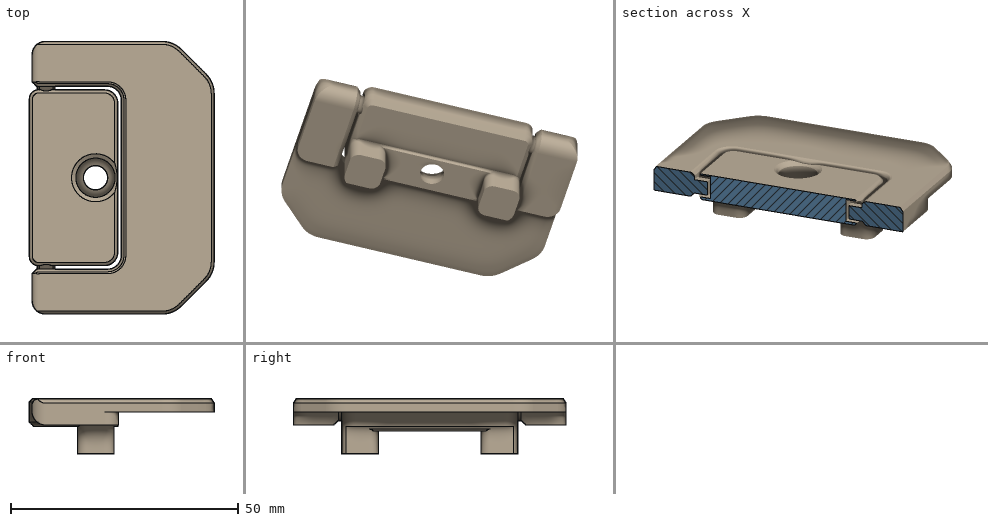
import math

import cadquery as cq

TOTAL_WIDTH = 40.7
TOTAL_LENGTH = 60.0
TOTAL_HEIGHT = 12.2
CORNER_RADIUS = 3.0

BLOCK_WIDTH = 19.5
BLOCK_LENGTH = 38.7
BLOCK_HEIGHT = 6.2
BLOCK_FRONT_RADIUS = 2.05
BLOCK_TOP_CHAMFER = 0.7
BLOCK_BOTTOM_CHAMFER = 1.0

LEG_FRONT = 10.55
LEG_WIDTH = 8.1
LEG_LENGTH = 8.1
LEG_RADIUS = 2.0
BAR_BOTTOM = 7.15
BAR_SLOPE_HEIGHT = 0.4
BAR_SLOPE_WIDTH = 0.2

SCREW_X = 14.6
SCREW_DIAMETER = 5.3
COUNTERBORE_DIAMETER = 8.65
COUNTERBORE_DEPTH = 4.2
COUNTERBORE_CHAMFER = 0.95

GAP = 0.7
FRAME_FRONT = 0.6
PLATE_THICKNESS = 3.0
ARM_HEIGHT = 5.8
ARM_REAR = 19.7
ARM_TOP_RADIUS = 1.5
REAR_CORNER_CUT = 9.0
REAR_CORNER_RADIUS = 6.0
RIM_CHAMFER_HEIGHT = 1.0
RIM_CHAMFER_WIDTH = 0.65
WINDOW_CHAMFER = 1.0
WINDOW_RIM_LIFT = 0.25
WINDOW_RIM_CHAMFER = 0.25

HINGE_X = 3.7
HINGE_Z = -2.95
STUB_RADIUS = 2.0
STUB_FLAT_Z = -1.6
SOCKET_RADIUS = 2.5
SOCKET_DEPTH = 3.0
STUB_END_GAP = 0.6

LEG_REAR = LEG_FRONT + LEG_WIDTH
LEG_TOP = -BLOCK_HEIGHT / 2
WINDOW_REAR = BLOCK_WIDTH + GAP
WINDOW_HALF_LENGTH = BLOCK_LENGTH / 2 + GAP
STUB_LENGTH = GAP + SOCKET_DEPTH - STUB_END_GAP


def slab(x_min, x_max, y_min, y_max, z_min, z_max):
    """A plain box given by its limits."""
    return cq.Workplane("XY").box(
        x_max - x_min, y_max - y_min, z_max - z_min, centered=False
    ).translate((x_min, y_min, z_min))


def block_outline(z_min, z_max):
    """An upright prism with the rounded outline of the block."""
    half = BLOCK_LENGTH / 2
    body = slab(0, BLOCK_WIDTH, -half, half, z_min, z_max)
    body = body.edges("|Z and <X").fillet(BLOCK_FRONT_RADIUS)
    return body.edges("|Z and >X").fillet(CORNER_RADIUS)


def leg():
    """The leg at the -Y end, running up into the block and flush with its outline."""
    y_outer = -BLOCK_LENGTH / 2
    body = slab(LEG_FRONT, LEG_REAR, y_outer, y_outer + LEG_LENGTH, -TOTAL_HEIGHT, LEG_TOP)
    body = body.edges("|Z and <X and <Y").fillet(BLOCK_FRONT_RADIUS)
    body = body.edges("|Z and >Y").fillet(LEG_RADIUS)
    return body.intersect(block_outline(-TOTAL_HEIGHT, 0))


def bar():
    """The bar between the legs, with a narrow slope along each lower edge."""
    half_length = (BLOCK_LENGTH - LEG_LENGTH) / 2
    slope_top = BAR_SLOPE_HEIGHT - BAR_BOTTOM
    section = [
        (LEG_FRONT, LEG_TOP),
        (LEG_FRONT, slope_top),
        (LEG_FRONT + BAR_SLOPE_WIDTH, -BAR_BOTTOM),
        (LEG_REAR - BAR_SLOPE_WIDTH, -BAR_BOTTOM),
        (LEG_REAR, slope_top),
        (LEG_REAR, LEG_TOP),
    ]
    return cq.Workplane("XZ").polyline(section).close().extrude(half_length, both=True)


def hinge_rod(radius, length):
    """A rod on the hinge axis, from the -Y wall of the window towards +Y."""
    return (
        cq.Workplane("XZ", origin=(HINGE_X, -WINDOW_HALF_LENGTH, HINGE_Z))
        .circle(radius)
        .extrude(-length)
    )


def screw_hole():
    """Cutter for the through hole, its counterbore and the countersunk rim."""
    hole_radius = SCREW_DIAMETER / 2
    bore_radius = COUNTERBORE_DIAMETER / 2
    half_section = [
        (0, 0),
        (bore_radius + COUNTERBORE_CHAMFER, 0),
        (bore_radius, -COUNTERBORE_CHAMFER),
        (bore_radius, -COUNTERBORE_DEPTH),
        (hole_radius, -COUNTERBORE_DEPTH),
        (hole_radius, -TOTAL_HEIGHT),
        (0, -TOTAL_HEIGHT),
    ]
    cutter = cq.Workplane("XZ").polyline(half_section).close().revolve(360, (0, 0), (0, 1))
    return cutter.translate((SCREW_X, 0, 0))


def make_block():
    """Mounting block: legs and bar below, counterbored screw hole, a hinge socket at each end."""
    whole = block_outline(-BLOCK_HEIGHT, 0).faces(">Z").edges().chamfer(BLOCK_TOP_CHAMFER)
    chamfered = whole.faces("<Z").edges().chamfer(BLOCK_BOTTOM_CHAMFER)
    rear_start = LEG_FRONT + BLOCK_FRONT_RADIUS
    rear = whole.intersect(
        slab(rear_start, BLOCK_WIDTH, -TOTAL_LENGTH, TOTAL_LENGTH, -BLOCK_HEIGHT, 0)
    )
    body = chamfered.union(rear).union(bar())
    body = body.union(leg()).union(leg().mirror("XZ"))
    socket = hinge_rod(SOCKET_RADIUS, GAP + SOCKET_DEPTH)
    return body.cut(socket).cut(socket.mirror("XZ")).cut(screw_hole())


def frame_plate():
    """Envelope with cut rear corners and a sloped upper rim, left square and overlong in front."""
    half = TOTAL_LENGTH / 2
    plate = slab(-FRAME_FRONT, TOTAL_WIDTH, -half, half, -ARM_HEIGHT, -RIM_CHAMFER_HEIGHT)
    plate = plate.edges("|Z and >X").chamfer(REAR_CORNER_CUT)
    plate = plate.edges("|Z and (not <X)").fillet(REAR_CORNER_RADIUS)
    slope = math.degrees(math.atan(RIM_CHAMFER_WIDTH / RIM_CHAMFER_HEIGHT))
    return plate.faces(">Z").wires().toPending().extrude(RIM_CHAMFER_HEIGHT, taper=slope)


def frame_core():
    """Two tall arms in front and a thin plate behind, with the window, slightly too high at the top."""
    half = TOTAL_LENGTH / 2
    core = slab(FRAME_FRONT, TOTAL_WIDTH, -half, half, -PLATE_THICKNESS, WINDOW_RIM_LIFT).cut(window())
    arm = slab(FRAME_FRONT, ARM_REAR, -half, -WINDOW_HALF_LENGTH, -ARM_HEIGHT, -PLATE_THICKNESS)
    arm = arm.edges("|Z and >X and <Y").fillet(CORNER_RADIUS)
    core = core.union(arm).union(arm.mirror("XZ"))
    core = core.edges("|Y and <X and <Z").fillet(CORNER_RADIUS)
    return core.edges("|Y and <X and >Z").fillet(ARM_TOP_RADIUS + WINDOW_RIM_LIFT)


def front_rounding():
    """Envelope that rounds the upper front edge and the upright front corners of the frame."""
    half = TOTAL_LENGTH / 2
    square = slab(FRAME_FRONT, TOTAL_WIDTH, -half, half, -ARM_HEIGHT, 0)
    edge = square.edges("|Y and <X and >Z").fillet(ARM_TOP_RADIUS)
    return square.edges("|Z and <X").fillet(CORNER_RADIUS).intersect(edge)


def window():
    """Cutter for the opening around the block."""
    half = WINDOW_HALF_LENGTH
    body = slab(-WINDOW_REAR, WINDOW_REAR, -half, half, -TOTAL_HEIGHT, TOTAL_HEIGHT)
    return body.edges("|Z and >X").fillet(CORNER_RADIUS)


def chamfer_at(body, point, size):
    """Chamfer the edge nearest to a point, along with the edges that continue it smoothly."""
    return body.edges(cq.selectors.NearestToPointSelector(point)).chamfer(size)


def make_frame():
    """Frame around the block, with a flat-topped hinge stub on each arm."""
    frame = chamfer_at(frame_core(), (WINDOW_REAR, 0, WINDOW_RIM_LIFT), WINDOW_CHAMFER)
    frame = frame.intersect(frame_plate())
    window_rim = (WINDOW_REAR + WINDOW_CHAMFER - WINDOW_RIM_LIFT, 0, 0)
    frame = chamfer_at(frame, window_rim, WINDOW_RIM_CHAMFER)
    frame = frame.intersect(front_rounding())
    above_flat = slab(0, BLOCK_WIDTH, -TOTAL_LENGTH, TOTAL_LENGTH, STUB_FLAT_Z, TOTAL_HEIGHT)
    stub = hinge_rod(STUB_RADIUS, STUB_LENGTH).cut(above_flat)
    return frame.union(stub).union(stub.mirror("XZ"))


block = make_block()
frame = make_frame()
result = cq.Compound.makeCompound([block.val(), frame.val()])